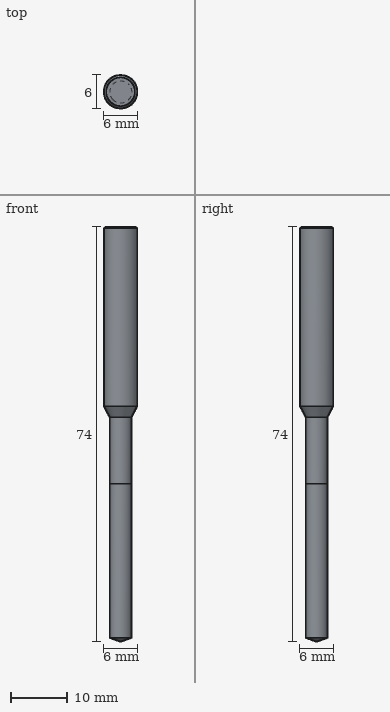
import cadquery as cq
import math

TOTAL_LENGTH = 74.0

SHANK_DIAMETER = 6.0
SHANK_LENGTH = 32.0
TOP_CHAMFER_WIDTH = 0.45
TOP_CHAMFER_HEIGHT = 0.3
TAPER_LENGTH = 2.0

STEM_DIAMETER = 3.9
CUTTER_LENGTH = 28.2
POINT_ANGLE = 140.0

SHANK_RADIUS = SHANK_DIAMETER / 2
STEM_RADIUS = STEM_DIAMETER / 2
POINT_HEIGHT = STEM_RADIUS / math.tan(math.radians(POINT_ANGLE / 2))
TOP_Z = TOTAL_LENGTH / 2
TIP_Z = -TOTAL_LENGTH / 2
JOINT_Z = TIP_Z + CUTTER_LENGTH


def revolve_profile(points):
    """Turn a closed (radius, z) outline around the Z axis."""
    return cq.Workplane("XZ").polyline(points).close().revolve(360, (0, 0, 0), (0, 1, 0))


def make_shank():
    """Chamfered shank that tapers down to the neck."""
    shank_bottom_z = TOP_Z - SHANK_LENGTH
    taper_end_z = shank_bottom_z - TAPER_LENGTH
    return revolve_profile([
        (0, JOINT_Z),
        (STEM_RADIUS, JOINT_Z),
        (STEM_RADIUS, taper_end_z),
        (SHANK_RADIUS, shank_bottom_z),
        (SHANK_RADIUS, TOP_Z - TOP_CHAMFER_HEIGHT),
        (SHANK_RADIUS - TOP_CHAMFER_WIDTH, TOP_Z),
        (0, TOP_Z),
    ])


def make_cutter():
    """Cylindrical cutting section with a conical point."""
    return revolve_profile([
        (0, TIP_Z),
        (STEM_RADIUS, TIP_Z + POINT_HEIGHT),
        (STEM_RADIUS, JOINT_Z),
        (0, JOINT_Z),
    ])


shank = make_shank()
cutter = make_cutter()

result = cq.Compound.makeCompound([shank.val(), cutter.val()])